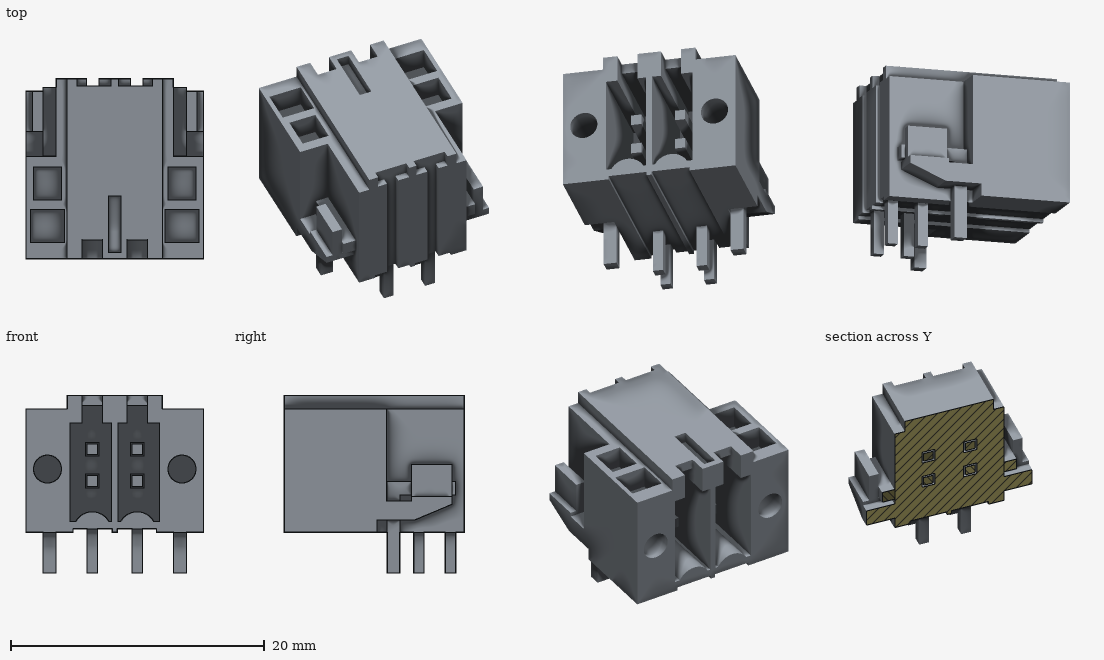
import cadquery as cq


width = 14.0
depth = 14.2
roof_top = 10.8
shoulder_top = 9.75
roof_width = 7.5
rear_width = 9.25
flange_depth = 8.05

pole_pitch = 3.54
row_heights = (4.06, 6.56)
row_leg_positions = (10.62, 13.11)
contact_size = 0.84
contact_tip = 3.0
leg_length = 3.2
contact_recess_size = 1.07
contact_recess_depth = 0.3

cavity_width = 3.26
cavity_offset = 1.88
cavity_bottom = 0.88
cavity_top = 8.64
cavity_depth = 9.2
saddle_radius = 1.5
saddle_top = 1.63
keyway_width = 1.62
keyway_top = 9.99
roof_notch_depth = 1.5

roof_slot_width = 1.0
roof_slot_front = 0.5
roof_slot_length = 4.47
roof_slot_depth = 0.9
rear_notch_depth = 0.57
rear_slot_width = 0.97
rear_slot_offset = 1.74
rear_pocket_width = 2.67
rear_pocket_offset = 1.65
rear_pocket_depth = 1.0

relief_inner = 0.2
relief_outer = 3.28
relief_height = 0.28

flange_center = 5.3
flange_hole_diameter = 2.2
flange_hole_height = 5.0
flange_hole_depth = 4.0
flange_pocket_depth = 1.85
flange_pocket_length = 2.61
front_pocket_width = 2.7
front_pocket_front = 1.27
rear_flange_pocket_width = 2.23
rear_flange_pocket_front = 4.63

undercut_front = 7.32
arm_bottom = 0.98
arm_floor = 2.5
arm_back = 13.23
arm_slope_front = 10.28
arm_tip_bottom = 2.22
ledge_front = 10.03
ledge_top = 2.85
ledge_width = 0.52
plate_top = 5.35

anchor_width = 1.05
anchor_leg_depth = 1.0
anchor_front = 8.12
anchor_back = 13.52
anchor_bar_bottom = 2.95
anchor_bar_top = 4.0

pole_centers = (-pole_pitch / 2, pole_pitch / 2)
sides = (-1, 1)


def box(x_range, y_range, z_range):
    """Box spanning the given ranges; the two ends of a range may come in either order."""
    x0, x1 = sorted(x_range)
    y0, y1 = sorted(y_range)
    z0, z1 = sorted(z_range)
    return cq.Workplane("XY").box(x1 - x0, y1 - y0, z1 - z0, centered=False).translate((x0, y0, z0))


def centered_range(center, size):
    return (center - size / 2, center + size / 2)


def make_contact(x, z, leg_y):
    """Right-angle contact: a level pin in the cavity and a leg down through the board."""
    leg_back = leg_y + contact_size / 2
    x_range = centered_range(x, contact_size)
    pin = box(x_range, (contact_tip, leg_back), centered_range(z, contact_size))
    leg = box(x_range, centered_range(leg_y, contact_size), (-leg_length, z))
    return pin.union(leg)


def make_anchor(side):
    """Solder anchor: a level bar beside the housing wall and a leg down through the arm."""
    wall = rear_width / 2
    x_range = (side * wall, side * (wall + anchor_width))
    bar = box(x_range, (anchor_front, anchor_back), (anchor_bar_bottom, anchor_bar_top))
    leg = box(x_range, (anchor_front, anchor_front + anchor_leg_depth), (-leg_length, anchor_bar_top))
    return bar.union(leg)


def make_shell():
    """Rear body, wide front flanges and the raised roof."""
    flanges = box(centered_range(0, width), (0, flange_depth), (0, shoulder_top))
    rear = box(centered_range(0, rear_width), (0, depth), (0, shoulder_top))
    roof = box(centered_range(0, roof_width), (0, depth), (0, roof_top))
    return flanges.union(rear).union(roof)


def make_arm(side):
    """Arm behind a flange that holds the anchor, with an upright plate on its ledge."""
    wall = side * rear_width / 2
    outside = side * width / 2
    profile = [
        (undercut_front, arm_bottom),
        (arm_slope_front, arm_bottom),
        (arm_back, arm_tip_bottom),
        (arm_back, ledge_top),
        (ledge_front, ledge_top),
        (ledge_front, arm_floor),
        (undercut_front, arm_floor),
    ]
    arm = cq.Workplane("YZ").polyline(profile).close().extrude(outside - wall).translate((wall, 0, 0))
    plate_x = (outside - side * ledge_width, wall + side * anchor_width)
    plate = box(plate_x, (ledge_front, arm_back), (arm_floor, plate_top))
    return arm.union(plate)


def flange_undercut(side):
    """Step at the rear foot of a flange."""
    x_range = (side * rear_width / 2, side * width / 2)
    return box(x_range, (undercut_front, flange_depth), (0, arm_bottom))


def flange_cuts(side):
    """Round hole in the mating face and two square pockets in the top of a flange."""
    x = side * flange_center
    z_range = (shoulder_top - flange_pocket_depth, shoulder_top)
    front_pocket = box(
        centered_range(x, front_pocket_width),
        (front_pocket_front, front_pocket_front + flange_pocket_length),
        z_range,
    )
    rear_pocket = box(
        centered_range(x, rear_flange_pocket_width),
        (rear_flange_pocket_front, rear_flange_pocket_front + flange_pocket_length),
        z_range,
    )
    hole = (
        cq.Workplane("XZ")
        .center(x, flange_hole_height)
        .circle(flange_hole_diameter / 2)
        .extrude(-flange_hole_depth)
    )
    return front_pocket.union(rear_pocket).union(hole)


def mating_cavity(side):
    """Cavity of one pole: saddle on its floor, keyway in its ceiling, recesses around the contacts."""
    pole_x = side * pole_pitch / 2
    keyway_x = centered_range(pole_x, keyway_width)
    cavity = box(
        centered_range(side * cavity_offset, cavity_width),
        (0, cavity_depth),
        (cavity_bottom, cavity_top),
    )
    saddle = (
        cq.Workplane("XZ")
        .center(pole_x, saddle_top - saddle_radius)
        .circle(saddle_radius)
        .extrude(-cavity_depth)
    )
    keyway = box(keyway_x, (0, cavity_depth), (cavity_top, keyway_top))
    roof_notch = box(keyway_x, (0, roof_notch_depth), (cavity_top, roof_top))
    cavity = cavity.cut(saddle).union(keyway).union(roof_notch)
    for z in row_heights:
        recess = box(
            centered_range(pole_x, contact_recess_size),
            (cavity_depth, cavity_depth + contact_recess_depth),
            centered_range(z, contact_recess_size),
        )
        cavity = cavity.union(recess)
    return cavity


def rear_notch(side):
    """Full-height slot in the rear face with a wider pocket at the top."""
    y_range = (depth - rear_notch_depth, depth)
    slot = box(centered_range(side * rear_slot_offset, rear_slot_width), y_range, (0, roof_top))
    pocket = box(
        centered_range(side * rear_pocket_offset, rear_pocket_width),
        y_range,
        (roof_top - rear_pocket_depth, roof_top),
    )
    return slot.union(pocket)


def board_relief(side):
    """Shallow channel under one pole, open at the front and the rear."""
    return box((side * relief_inner, side * relief_outer), (0, depth), (0, relief_height))


def roof_slot():
    """Narrow blind slot in the roof, between the two poles."""
    return box(
        centered_range(0, roof_slot_width),
        (roof_slot_front, roof_slot_front + roof_slot_length),
        (roof_top - roof_slot_depth, roof_top),
    )


contacts = [
    make_contact(x, z, leg_y)
    for x in pole_centers
    for z, leg_y in zip(row_heights, row_leg_positions)
]
anchors = [make_anchor(side) for side in sides]

housing = make_shell().cut(roof_slot())
for side in sides:
    housing = housing.cut(flange_undercut(side)).union(make_arm(side))
    for cutter in (flange_cuts(side), mating_cavity(side), rear_notch(side), board_relief(side)):
        housing = housing.cut(cutter)
for insert in contacts + anchors:
    housing = housing.cut(insert)

bodies = [housing] + contacts + anchors
result = cq.Compound.makeCompound([body.solids().val() for body in bodies])